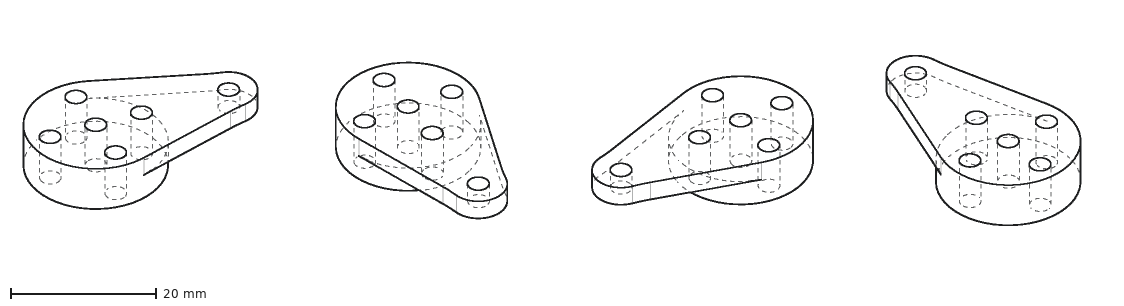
import cadquery as cq
import math

hub_radius = 9.98
tip_radius = 4.0
tip_distance = 19.95
total_height = 7.0
arm_thickness = 3.0
hole_diameter = 3.0
hole_ring_radius = 6.85
blend_radius = 23.75
side_offset = 3.85

lean = math.asin((hub_radius - side_offset) / tip_distance)
hub_tangent = (hub_radius * math.cos(lean), hub_radius * math.sin(lean))

turn = math.acos((blend_radius + side_offset) / (blend_radius + tip_radius))
start_lean = lean - turn
blend_center = (
    (tip_radius + blend_radius) * math.cos(start_lean),
    tip_distance + (tip_radius + blend_radius) * math.sin(start_lean),
)


def blend_point(angle):
    """Point of the right-hand blend where its tangent leans by the angle."""
    x = blend_center[0] - blend_radius * math.cos(angle)
    y = blend_center[1] - blend_radius * math.sin(angle)
    return (x, y)


def mirrored(point):
    """Reflect a point across the arm's centre line."""
    return (-point[0], point[1])


side_end = blend_point(lean)
blend_middle = blend_point((lean + start_lean) / 2)
tip_start = blend_point(start_lean)

arm = (
    cq.Workplane("XY")
    .workplane(offset=total_height - arm_thickness)
    .moveTo(*hub_tangent)
    .lineTo(*side_end)
    .threePointArc(blend_middle, tip_start)
    .threePointArc((0, tip_distance + tip_radius), mirrored(tip_start))
    .threePointArc(mirrored(blend_middle), mirrored(side_end))
    .lineTo(*mirrored(hub_tangent))
    .threePointArc((0, -hub_radius), hub_tangent)
    .close()
    .extrude(arm_thickness)
)

hub = cq.Workplane("XY").circle(hub_radius).extrude(total_height)

hole_points = [(0, 0), (0, tip_distance)]
for quarter in range(4):
    angle = quarter * math.pi / 2
    hole_points.append((hole_ring_radius * math.cos(angle), hole_ring_radius * math.sin(angle)))

holes = (
    cq.Workplane("XY")
    .pushPoints(hole_points)
    .circle(hole_diameter / 2)
    .extrude(total_height)
)

result = hub.union(arm).cut(holes)